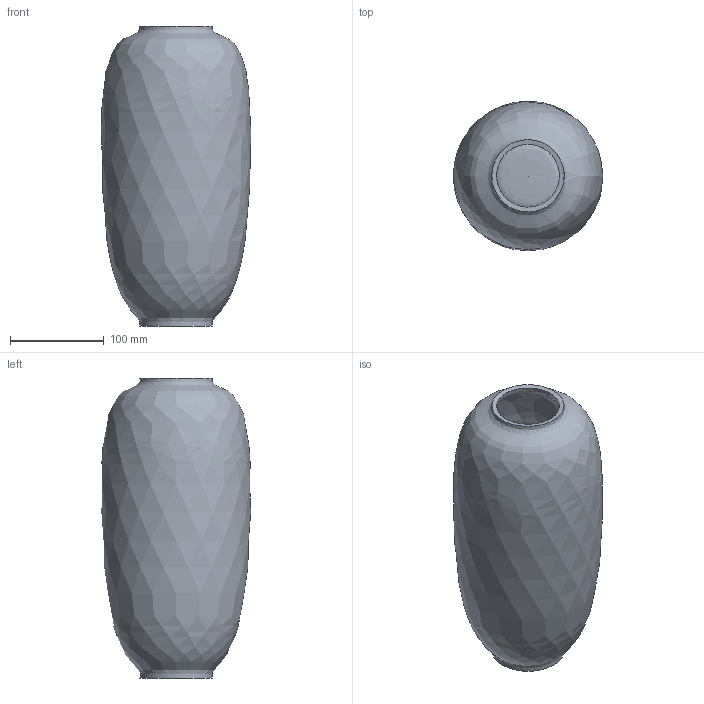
import cadquery as cq

height = 320.0
belly_radius = 79.85
belly_height = 196.5
wall = 5.0

ring_radius = 38.5
mouth_radius = ring_radius - wall

foot_bend = [(38.6, 4.2), (39.5, 7.2), (42.0, 10.1)]
lower_body = [(52.8, 23.1), (63.6, 46.3), (72.2, 81.0), (77.3, 127.2)]
upper_body = [(77.2, 254.5), (73.2, 277.6), (65.0, 296.9), (57.3, 305.4)]
neck_bend = [(50.8, 308.5), (45.2, 310.7), (41.5, 312.7), (39.3, 315.2), (38.6, 317.4)]

rim_drop = 0.8

groove_height = 7.0
mound_rise = 3.0
mound_level_radius = 22.0
mound_shoulder_radius = 33.0

wall_steps = 120


def make_side():
    """Curve of the outer side, from the foot up to the rim."""
    points = foot_bend + lower_body + [(belly_radius, belly_height)] + upper_body + neck_bend
    points = [(ring_radius, 0)] + points + [(ring_radius, height)]
    return cq.Edge.makeSpline([cq.Vector(r, 0, z) for r, z in points])


def make_cavity_side(side):
    """Curve one wall thickness inside the outer side, from the groove up to the mouth."""
    points = []
    for step in range(wall_steps):
        place = side.positionAt(step / wall_steps)
        along = side.tangentAt(step / wall_steps)
        inward = cq.Vector(-along.z, 0, along.x)
        point = place + inward * wall
        if point.z > groove_height:
            points.append(point)
    points.append(cq.Vector(mouth_radius, 0, height - rim_drop))
    return cq.Edge.makeSpline(points)


def make_floor(groove):
    """Curve of the floor, from the Z axis out to the groove; its first three poles keep it level."""
    floor_height = groove.z + mound_rise
    level_radii = [0, mound_level_radius, mound_shoulder_radius]
    poles = [cq.Vector(r, 0, floor_height) for r in level_radii]
    return cq.Edge.makeBezier(poles + [groove])


def make_section():
    """Closed half section of the vase, on the +X side of the Z axis."""
    side = make_side()
    cavity_side = make_cavity_side(side)
    floor = make_floor(cavity_side.startPoint())
    foot_center = cq.Vector(0, 0, 0)
    return cq.Wire.assembleEdges(
        [
            cq.Edge.makeLine(foot_center, side.startPoint()),
            side,
            cq.Edge.makeLine(side.endPoint(), cavity_side.endPoint()),
            cavity_side,
            floor,
            cq.Edge.makeLine(floor.startPoint(), foot_center),
        ]
    )


axis_start = cq.Vector(0, 0, 0)
axis_end = cq.Vector(0, 0, height)
vase = cq.Solid.revolve(make_section(), [], 360, axis_start, axis_end)
result = cq.Workplane(obj=vase)